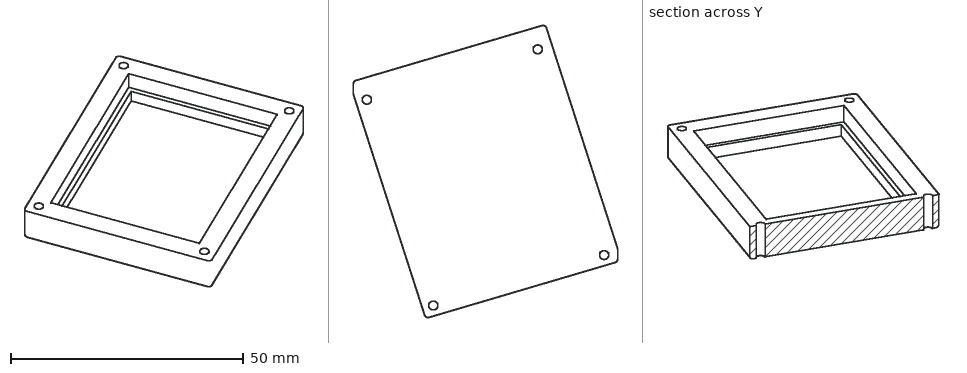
import cadquery as cq

width = 43.5
length = 53.5
height = 8.0
edge_radius = 0.8

rim_width = 4.5
ledge_width = 1.0
ledge_depth = 3.95
floor_thickness = 1.3

hole_diameter = 2.0
hole_inset = 2.5


def make_body():
    """Block with rounded upright edges and a rounded bottom edge."""
    body = cq.Workplane("XY").box(width, length, height, centered=(True, True, False))
    return body.edges("|Z").fillet(edge_radius).faces("<Z").edges().fillet(edge_radius)


def make_pocket(wall, bottom):
    """Rectangular cutter inset by wall, reaching from bottom up to the top face."""
    return (
        cq.Workplane("XY")
        .workplane(offset=bottom)
        .rect(width - 2 * wall, length - 2 * wall)
        .extrude(height - bottom)
    )


def make_holes():
    """Four cylinders, one at each corner."""
    return (
        cq.Workplane("XY")
        .rect(width - 2 * hole_inset, length - 2 * hole_inset, forConstruction=True)
        .vertices()
        .circle(hole_diameter / 2)
        .extrude(height)
    )


upper_pocket = make_pocket(rim_width, height - ledge_depth)
lower_pocket = make_pocket(rim_width + ledge_width, floor_thickness)

result = make_body().cut(upper_pocket).cut(lower_pocket).cut(make_holes())